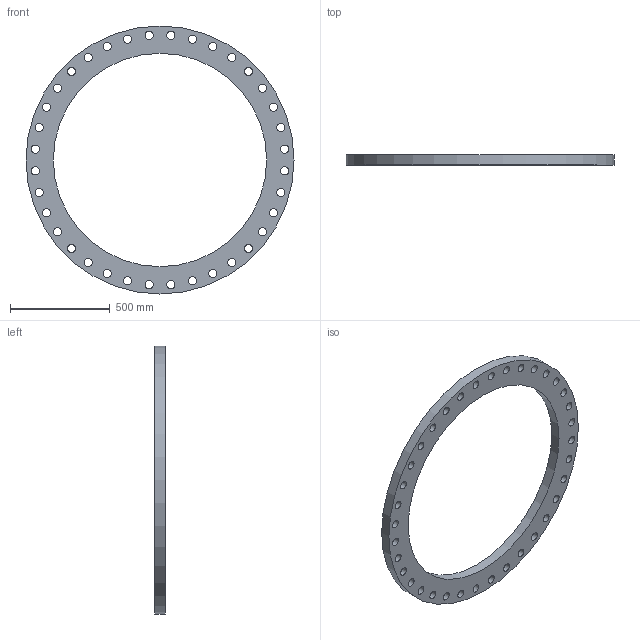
import cadquery as cq

outer_diameter = 1346.2
bore_diameter = 1071.63
thickness = 51.38

bolt_circle_diameter = 1257.3
bolt_hole_diameter = 41.27
bolt_hole_count = 36
bolt_spacing_angle = 360 / bolt_hole_count
first_bolt_angle = bolt_spacing_angle / 2


def back_face_plane():
    """Workplane on the +Y face, with its normal pointing toward -Y."""
    return cq.Workplane("XZ", origin=(0, thickness / 2, 0))


def make_ring():
    """Flat annular plate."""
    return (
        back_face_plane()
        .circle(outer_diameter / 2)
        .circle(bore_diameter / 2)
        .extrude(thickness)
    )


def make_bolt_holes():
    """Cylinders for the evenly spaced through holes."""
    return (
        back_face_plane()
        .polarArray(bolt_circle_diameter / 2, first_bolt_angle, 360, bolt_hole_count)
        .circle(bolt_hole_diameter / 2)
        .extrude(thickness)
    )


result = make_ring().cut(make_bolt_holes())